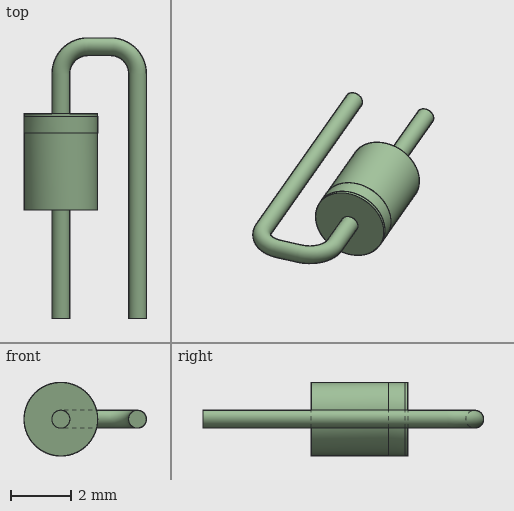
import cadquery as cq

total_length = 9.32
body_diameter = 2.44
body_length = 3.21
body_start = 3.6
band_diameter = 2.45
band_width = 0.54
band_end_margin = 0.1
lead_diameter = 0.6
lead_pitch = 2.54
bend_radius = 0.895

lead_radius = lead_diameter / 2
bend_start = total_length - lead_radius - bend_radius
bend_top = bend_start + bend_radius
band_start = body_start + body_length - band_end_margin - band_width


def cylinder_along_y(diameter, start, length):
    """Solid cylinder on the body axis, running from start toward +Y."""
    plane = cq.Plane(origin=(0, start, 0), xDir=(1, 0, 0), normal=(0, 1, 0))
    return cq.Workplane(plane).circle(diameter / 2).extrude(length)


def hairpin_lead():
    """Round wire through the body, bent twice to return parallel to itself."""
    path = (
        cq.Workplane("XY")
        .lineTo(0, bend_start)
        .radiusArc((bend_radius, bend_top), bend_radius)
        .lineTo(lead_pitch - bend_radius, bend_top)
        .radiusArc((lead_pitch, bend_start), bend_radius)
        .lineTo(lead_pitch, 0)
    )
    return cq.Workplane("XZ").circle(lead_radius).sweep(path)


body = cylinder_along_y(body_diameter, body_start, body_length)
cathode_band = cylinder_along_y(band_diameter, band_start, band_width)

result = body.union(cathode_band).union(hairpin_lead())